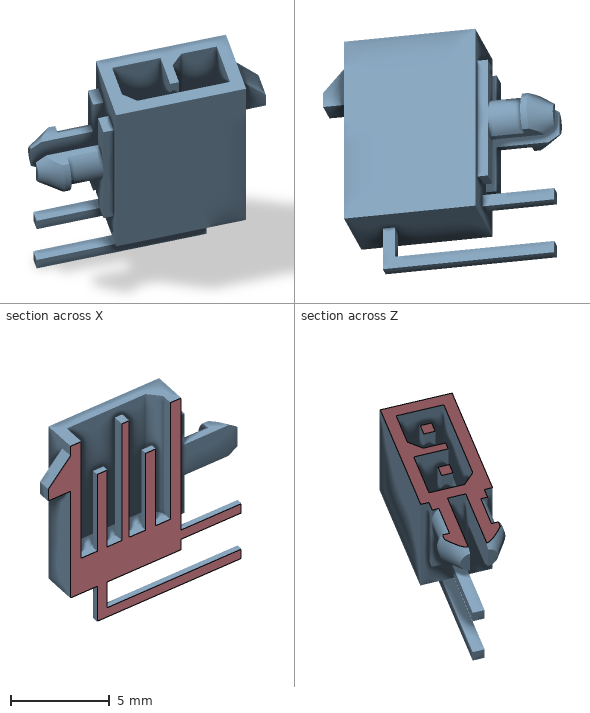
import cadquery as cq

BODY_WIDTH = 3.85
BODY_DEPTH = 6.85
BODY_HEIGHT = 9.9

WALL = 0.67
CAVITY_FLOOR = 2.31
CORNER_CHAMFER = 0.63
KEY_FRONT = 3.22
KEY_BACK = 3.68
KEY_TIP_X = 0.58

PIN_SIZE = 0.63
PIN_PITCH = 3.0
BACK_PIN_Y = 4.88
PIN_TOP = 7.31
PIN_REACH = 3.74
FRONT_PIN_BOTTOM = 0.68
BACK_PIN_BOTTOM = -2.28

LATCH_WIDTH = 1.41
LATCH_REACH = 1.38
LATCH_BOTTOM = 6.94
LATCH_NOSE_TOP = 7.73
LATCH_TOP = 9.28

SLOT_HALF = 0.48
RIB_OUTER_X = 1.49
RIB_DEPTH = 0.55
RIB_BOTTOM = 1.83
RIB_TOP = 8.31

PEG_Z = 5.29
PEG_AXIS_X = 0.37
PEG_HEIGHT = 2.0
SHAFT_RADIUS = RIB_OUTER_X - PEG_AXIS_X
HEAD_RADIUS = 1.4
TIP_RADIUS = 0.65
HEAD_START = 2.3
TAPER_START = 2.64
PEG_REACH = 3.82


def block(x0, x1, y0, y1, z0, z1):
    """Box between opposite corners."""
    return cq.Workplane("XY").box(x1 - x0, y1 - y0, z1 - z0, centered=False).translate((x0, y0, z0))


def housing():
    half_width = BODY_WIDTH / 2
    body = block(-half_width, half_width, 0, BODY_DEPTH, 0, BODY_HEIGHT)
    side = half_width - WALL
    front = WALL
    back = BODY_DEPTH - WALL
    cavity = (
        cq.Workplane("XY", origin=(0, 0, CAVITY_FLOOR))
        .moveTo(-side, front)
        .lineTo(side - CORNER_CHAMFER, front)
        .lineTo(side, front + CORNER_CHAMFER)
        .lineTo(side, back)
        .lineTo(-side, back)
        .lineTo(-side, KEY_BACK + CORNER_CHAMFER)
        .lineTo(-side + CORNER_CHAMFER, KEY_BACK)
        .lineTo(KEY_TIP_X, KEY_BACK)
        .lineTo(KEY_TIP_X, KEY_FRONT)
        .lineTo(-side, KEY_FRONT)
        .close()
        .extrude(BODY_HEIGHT - CAVITY_FLOOR)
    )
    return body.cut(cavity)


def bent_pin(center_y, bottom):
    """Vertical contact that turns forward at its lower end."""
    half = PIN_SIZE / 2
    upright = block(-half, half, center_y - half, center_y + half, bottom, PIN_TOP)
    tail = block(-half, half, -PIN_REACH, center_y + half, bottom, bottom + PIN_SIZE)
    return upright.union(tail)


def latch():
    root = BODY_DEPTH - WALL / 2
    nose = BODY_DEPTH + LATCH_REACH
    return (
        cq.Workplane("YZ")
        .polyline([
            (root, LATCH_BOTTOM),
            (nose, LATCH_BOTTOM),
            (nose, LATCH_NOSE_TOP),
            (BODY_DEPTH, LATCH_TOP),
            (root, LATCH_TOP),
        ])
        .close()
        .extrude(LATCH_WIDTH / 2, both=True)
    )


def peg_half():
    """The +X rib and its barbed half peg, flattened above and below."""
    rib = block(SLOT_HALF, RIB_OUTER_X, -RIB_DEPTH, 0, RIB_BOTTOM, RIB_TOP)
    turned = (
        cq.Workplane("XY")
        .polyline([
            (0, 0),
            (SHAFT_RADIUS, 0),
            (SHAFT_RADIUS, -HEAD_START),
            (HEAD_RADIUS, -HEAD_START),
            (HEAD_RADIUS, -TAPER_START),
            (TIP_RADIUS, -PEG_REACH),
            (0, -PEG_REACH),
        ])
        .close()
        .revolve(360, (0, 0), (0, 1))
        .translate((PEG_AXIS_X, 0, PEG_Z))
    )
    envelope = block(
        SLOT_HALF, PEG_AXIS_X + HEAD_RADIUS,
        -PEG_REACH, 0,
        PEG_Z - PEG_HEIGHT / 2, PEG_Z + PEG_HEIGHT / 2,
    )
    return rib.union(turned.intersect(envelope))


result = housing().union(latch())
result = result.union(bent_pin(BACK_PIN_Y, BACK_PIN_BOTTOM))
result = result.union(bent_pin(BACK_PIN_Y - PIN_PITCH, FRONT_PIN_BOTTOM))

right_half = peg_half()
result = result.union(right_half).union(right_half.mirror("YZ"))